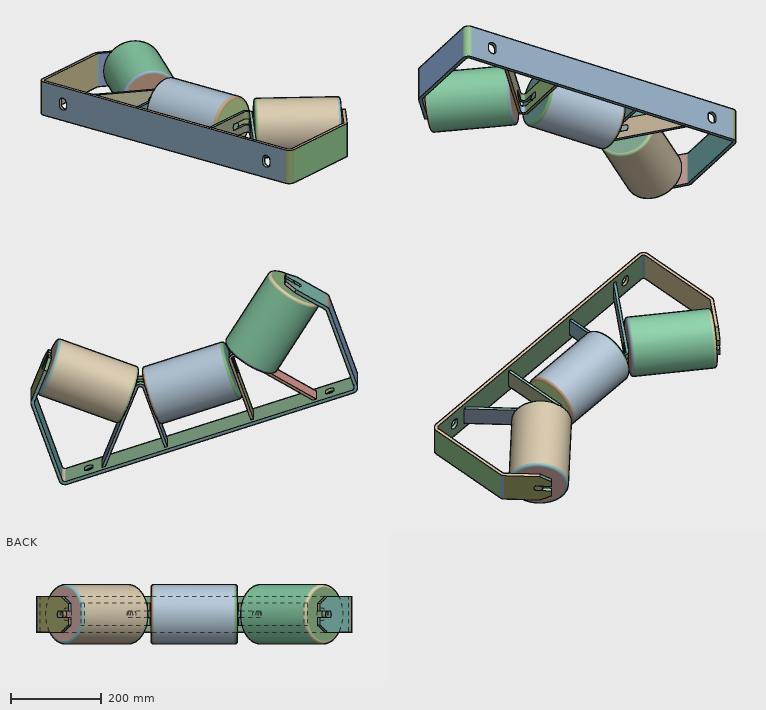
import cadquery as cq
import math

frame_length = 700.0
strip_width = 80.0
strip_thickness = 8.0
strip_inner_radius = 6.0
strip_outer_radius = strip_inner_radius + strip_thickness
arm_bend_y = 205.0
arm_length = 105.0
arm_corner_along = 26.0
arm_corner_across = 16.0

mount_slot_spacing = 565.5
mount_slot_width = 19.5
mount_slot_height = 28.0

roller_diameter = 133.0
roller_length = 192.0
roller_fillet = 6.0
axle_diameter = 19.5
side_axle_outer_reach = 106.5
side_axle_inner_reach = 105.0
axle_flat_width = 15.0
bracket_gap = 2.0
roller_tilt = 40.0
middle_roller_y = 124.5
side_roller_x = 216.0
side_roller_y = 204.0

bracket_width = 50.0
bracket_thickness = 6.0
bracket_inner_radius = 6.0
bracket_outer_radius = bracket_inner_radius + bracket_thickness
bracket_bend_y = 156.0

bracket_face_x = roller_length / 2 + bracket_gap
bracket_bend_x = bracket_face_x + bracket_outer_radius
lean_angle = 180.0 - roller_tilt
middle_axle_reach = bracket_face_x + bracket_thickness
leg_slope = math.tan(math.radians(90.0 - roller_tilt))


def polar(centre, radius, angle):
    """Point at the given radius and angle (degrees) around a centre."""
    a = math.radians(angle)
    return (centre[0] + radius * math.cos(a), centre[1] + radius * math.sin(a))


def bend(outline, centre, radius, start, end):
    """Draw to the start of a bend, then follow its arc to the end angle."""
    return outline.lineTo(*polar(centre, radius, start)).threePointArc(
        polar(centre, radius, (start + end) / 2), polar(centre, radius, end)
    )


def place_on_left(body):
    """Move a body from the origin to the place and tilt of the left roller."""
    return body.rotate((0, 0, 0), (0, 0, 1), -roller_tilt).translate((-side_roller_x, side_roller_y, 0))


def place_in_middle(body):
    """Move a body from the origin to the place of the middle roller."""
    return body.translate((0, middle_roller_y, 0))


def mirror_to_right(body):
    """Mirror a left-hand body across the middle plane X = 0."""
    return body.mirror("YZ")


def make_bar(diameter, left_reach, right_reach):
    """Round bar along X, reaching the given distances to each side of the origin."""
    left_end = cq.Workplane("YZ").workplane(offset=-left_reach)
    return left_end.circle(diameter / 2).extrude(left_reach + right_reach)


def make_axle(left_reach, right_reach):
    """Round bar along X with two flats facing up and down."""
    flats_length = 2 * max(left_reach, right_reach)
    between_flats = cq.Workplane("XY").box(flats_length, axle_diameter, axle_flat_width)
    return make_bar(axle_diameter, left_reach, right_reach).intersect(between_flats)


def make_roller(axle_left_reach, axle_right_reach):
    """Roller along X with rounded rims and an axle end on each side."""
    drum = make_bar(roller_diameter, roller_length / 2, roller_length / 2)
    drum = drum.faces("<X or >X").edges().fillet(roller_fillet)
    return drum.union(make_axle(axle_left_reach, axle_right_reach))


def make_axle_slot():
    """Cutter for the open slots that hold both ends of an axle; it runs past the axle ends."""
    reach = side_axle_outer_reach + strip_thickness
    opening = cq.Workplane("XY").box(
        2 * reach, roller_diameter, axle_flat_width, centered=(True, False, True)
    )
    return make_axle(reach, reach).union(opening)


def make_arm_corner_cutters(tip):
    """Cutters for the two free corners of the left arm, given its end point in X and Y."""
    along_arm = math.radians(lean_angle - 90.0)
    tip_x = tip[0] + side_roller_x
    tip_y = tip[1] - side_roller_y
    tip_height = tip_x * math.cos(along_arm) + tip_y * math.sin(along_arm)
    edge = strip_width / 2
    corner_points = [
        (tip_height, edge),
        (tip_height - arm_corner_along, edge),
        (tip_height, edge - arm_corner_across),
    ]
    corner = (
        cq.Workplane("YZ")
        .workplane(offset=-side_axle_outer_reach)
        .polyline(corner_points)
        .close()
        .extrude(2 * strip_thickness, both=True)
    )
    return place_on_left(corner.union(corner.mirror("XY")))


def make_left_half_strip():
    """Left half of the bent frame strip, with the corners of the arm cut off."""
    corner = (-frame_length / 2 + strip_outer_radius, strip_outer_radius)
    shoulder = (corner[0], arm_bend_y)
    arm_direction = lean_angle - 90.0
    outer_tip = polar(polar(shoulder, strip_outer_radius, lean_angle), arm_length, arm_direction)
    inner_tip = polar(polar(shoulder, strip_inner_radius, lean_angle), arm_length, arm_direction)

    outline = cq.Workplane("XY").moveTo(0, 0)
    outline = bend(outline, corner, strip_outer_radius, 270, 180)
    outline = bend(outline, shoulder, strip_outer_radius, 180, lean_angle)
    outline = outline.lineTo(*outer_tip).lineTo(*inner_tip)
    outline = bend(outline, shoulder, strip_inner_radius, lean_angle, 180)
    outline = bend(outline, corner, strip_inner_radius, 180, 270)
    outline = outline.lineTo(0, strip_thickness).close()
    strip = outline.extrude(strip_width / 2, both=True)
    return strip.cut(make_arm_corner_cutters(outer_tip))


def make_frame():
    """Bent strip with axle slots in both arms and two mounting slots in the base."""
    half = make_left_half_strip().cut(place_on_left(make_axle_slot()))
    frame = half.union(mirror_to_right(half))
    mount_slots = (
        cq.Workplane("XZ")
        .pushPoints([(-mount_slot_spacing / 2, 0), (mount_slot_spacing / 2, 0)])
        .slot2D(mount_slot_height, mount_slot_width, 90)
        .extrude(2 * strip_thickness, both=True)
    )
    return frame.cut(mount_slots)


def slanted_foot(bend_centre, radius):
    """Point where the slanted leg's side at this bend radius meets the base."""
    start = polar(bend_centre, radius, lean_angle)
    return (start[0] - (start[1] - strip_thickness) / leg_slope, strip_thickness)


def make_left_bracket():
    """Bracket standing on the base, slotted over its bend for two axles."""
    top = (-bracket_bend_x, bracket_bend_y)
    outline = cq.Workplane("XY").moveTo(top[0] + bracket_outer_radius, strip_thickness)
    outline = bend(outline, top, bracket_outer_radius, 0, lean_angle)
    outline = outline.lineTo(*slanted_foot(top, bracket_outer_radius))
    outline = outline.lineTo(*slanted_foot(top, bracket_inner_radius))
    outline = bend(outline, top, bracket_inner_radius, lean_angle, 0)
    outline = outline.lineTo(top[0] + bracket_inner_radius, strip_thickness).close()
    bracket = outline.extrude(bracket_width / 2, both=True)

    bend_notch = cq.Workplane("XY").box(
        2 * bracket_outer_radius, bracket_outer_radius, axle_flat_width, centered=(True, False, True)
    )
    bracket = bracket.cut(bend_notch.translate((*top, 0)))
    return bracket.cut(place_on_left(make_axle_slot())).cut(place_in_middle(make_axle_slot()))


frame = make_frame()
left_bracket = make_left_bracket()
left_roller = place_on_left(make_roller(side_axle_outer_reach, side_axle_inner_reach))
middle_roller = place_in_middle(make_roller(middle_axle_reach, middle_axle_reach))

brackets = [left_bracket, mirror_to_right(left_bracket)]
rollers = [left_roller, middle_roller, mirror_to_right(left_roller)]

result = cq.Compound.makeCompound([body.val() for body in [frame, *brackets, *rollers]])